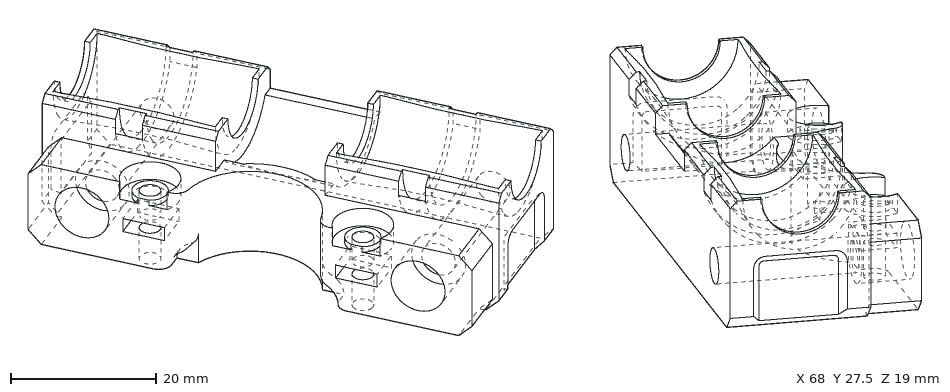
import cadquery as cq

LENGTH = 68.0
BLOCK_WIDTH = 20.0
BLOCK_HEIGHT = 19.0
BLOCK_FRONT = -BLOCK_WIDTH / 2
TOP_CHAMFER = 1.0
CORNER_CHAMFER = 2.0

FRONT = -17.5
PLATE_LENGTH = 66.1
PLATE_HEIGHT = 13.05

GAP_LENGTH = 16.3
BACK_RIDGE_HEIGHT = 14.9
GAP_TROUGH_RADIUS = 9.05

SEAT_CENTER = (LENGTH + GAP_LENGTH) / 4
SEAT_LENGTH = 24.15
SEAT_END_RADIUS = 8.0
SEAT_WAIST_RADIUS = 7.55
SEAT_END_BAND = 1.0
SHAFT_RADIUS = 5.5

TIE_WIDTH = 4.0
TIE_INNER_RADIUS = 8.5
TIE_THICKNESS = 2.05

RELIEF_RADIUS = 10.0
COLLAR_THICKNESS = 2.0
EDGE_ROUNDING = 2.0

NOTCH_RADIUS = 3.0
NOTCH_CENTER = 9.45
NOTCH_DEPTH = 3.8

BOLT_X = 25.0
BOLT_Z = 6.65
BOLT_DIAMETER = 5.0
BOLT_HEAD_DIAMETER = 8.0
BOLT_HEAD_DEPTH = 7.5

SCREW_X = 15.85
SCREW_Y = FRONT + 2.4
SCREW_DIAMETER = 3.0
SCREW_HEAD_DIAMETER = 8.5
SCREW_HEAD_FLOOR = 10.2
SEATING_RING_DIAMETER = 5.0
SEATING_RING_HEIGHT = 0.9
NUT_SLOT_WIDTH = 6.2
NUT_SLOT_HEIGHT = 2.1
NUT_SLOT_BOTTOM = 5.0
NUT_SLOT_DEPTH = 5.3

RECESS_WIDTH = 13.3
RECESS_HEIGHT = 10.6
RECESS_DEPTH = 1.0
RECESS_CORNER_RADIUS = 1.7

SIDES = (-1, 1)

SELECTION_MARGIN = 0.1


def box(x_min, x_max, y_min, y_max, z_min, z_max):
    size = (x_max - x_min, y_max - y_min, z_max - z_min)
    return cq.Workplane("XY").box(*size, centered=False).translate((x_min, y_min, z_min))


def rod_x(radius, x_center, length):
    """Cylinder along the bearing axis."""
    plane = cq.Workplane("YZ", origin=(x_center - length / 2, 0, BLOCK_HEIGHT))
    return plane.circle(radius).extrude(length)


def rod_y(radius, x, z, y_start, depth):
    """Cylinder that runs from y_start towards +Y."""
    plane = cq.Workplane("XZ", origin=(x, y_start, z))
    return plane.circle(radius).extrude(-depth)


def rod_z(radius, x, y, z_min, z_max):
    plane = cq.Workplane("XY", origin=(x, y, z_min))
    return plane.circle(radius).extrude(z_max - z_min)


def bearing_block():
    block = box(-LENGTH / 2, LENGTH / 2, BLOCK_FRONT, -BLOCK_FRONT, 0, BLOCK_HEIGHT)
    block = block.edges("|X and >Z").chamfer(TOP_CHAMFER)
    block = block.edges("|Y and <Z").chamfer(CORNER_CHAMFER)
    half_gap = GAP_LENGTH / 2
    back_gap = box(-half_gap, half_gap, 0, -BLOCK_FRONT, BACK_RIDGE_HEIGHT, BLOCK_HEIGHT)
    front_gap = box(-half_gap, half_gap, BLOCK_FRONT, 0, PLATE_HEIGHT, BLOCK_HEIGHT)
    return block.cut(back_gap).cut(front_gap)


def clamp_plate():
    plate = box(-PLATE_LENGTH / 2, PLATE_LENGTH / 2, FRONT, BLOCK_FRONT, 0, PLATE_HEIGHT)
    return plate.edges("|Y").chamfer(CORNER_CHAMFER)


def relief_collar():
    collar = rod_z(RELIEF_RADIUS + COLLAR_THICKNESS, 0, FRONT, 0, PLATE_HEIGHT)
    return collar.intersect(box(-LENGTH / 2, LENGTH / 2, FRONT, 0, 0, PLATE_HEIGHT))


def cut_relief(body):
    """Cut the half-round relief and its notches, then round the edges they leave at the front."""
    body = body.cut(rod_z(RELIEF_RADIUS, 0, FRONT, 0, BLOCK_HEIGHT))
    for side in SIDES:
        body = body.cut(rod_y(NOTCH_RADIUS, side * NOTCH_CENTER, 0, FRONT, NOTCH_DEPTH))

    reach = NOTCH_CENTER + NOTCH_RADIUS + SELECTION_MARGIN
    mouth = cq.selectors.BoxSelector(
        (-reach, FRONT - SELECTION_MARGIN, SELECTION_MARGIN),
        (reach, FRONT + NOTCH_DEPTH - SELECTION_MARGIN, PLATE_HEIGHT - SELECTION_MARGIN),
    )
    return body.edges(mouth).fillet(EDGE_ROUNDING)


def bearing_seat(x_center):
    """Bore with a straight band at each end and a gentle waist in the middle."""
    half = SEAT_LENGTH / 2
    band = half - SEAT_END_BAND
    bore = (
        cq.Workplane("XY")
        .moveTo(-half, 0)
        .lineTo(-half, SEAT_END_RADIUS)
        .lineTo(-band, SEAT_END_RADIUS)
        .threePointArc((0, SEAT_WAIST_RADIUS), (band, SEAT_END_RADIUS))
        .lineTo(half, SEAT_END_RADIUS)
        .lineTo(half, 0)
        .close()
        .revolve(360, (0, 0, 0), (1, 0, 0))
    )
    return bore.translate((x_center, 0, BLOCK_HEIGHT))


def tie_channel(x_center):
    outer = rod_x(TIE_INNER_RADIUS + TIE_THICKNESS, x_center, TIE_WIDTH)
    return outer.cut(rod_x(TIE_INNER_RADIUS, x_center, TIE_WIDTH))


def bolt_hole(x):
    head = rod_y(BOLT_HEAD_DIAMETER / 2, x, BOLT_Z, FRONT, BOLT_HEAD_DEPTH)
    return head.union(rod_y(BOLT_DIAMETER / 2, x, BOLT_Z, FRONT, BLOCK_WIDTH / 2 - FRONT))


def screw_hole(x):
    ring_top = SCREW_HEAD_FLOOR + SEATING_RING_HEIGHT
    head = rod_z(SCREW_HEAD_DIAMETER / 2, x, SCREW_Y, SCREW_HEAD_FLOOR, PLATE_HEIGHT)
    head = head.cut(rod_z(SEATING_RING_DIAMETER / 2, x, SCREW_Y, SCREW_HEAD_FLOOR, ring_top))
    shank = rod_z(SCREW_DIAMETER / 2, x, SCREW_Y, 0, PLATE_HEIGHT)
    half_slot = NUT_SLOT_WIDTH / 2
    slot = box(
        x - half_slot, x + half_slot,
        FRONT, FRONT + NUT_SLOT_DEPTH,
        NUT_SLOT_BOTTOM, NUT_SLOT_BOTTOM + NUT_SLOT_HEIGHT,
    )
    return head.union(shank).union(slot)


def end_recess(side):
    profile_height = 2 * RECESS_HEIGHT
    recess = (
        cq.Workplane("YZ")
        .sketch()
        .rect(RECESS_WIDTH, profile_height)
        .vertices()
        .fillet(RECESS_CORNER_RADIUS)
        .finalize()
        .extrude(RECESS_DEPTH, taper=45)
        .translate((-LENGTH / 2, 0, 0))
    )
    return recess if side < 0 else recess.mirror("YZ")


result = cut_relief(bearing_block().union(clamp_plate()).union(relief_collar()))

result = result.cut(rod_x(SHAFT_RADIUS, 0, LENGTH))
result = result.cut(rod_x(GAP_TROUGH_RADIUS, 0, GAP_LENGTH).cut(relief_collar()))

for side in SIDES:
    result = result.cut(bearing_seat(side * SEAT_CENTER))
    result = result.cut(tie_channel(side * SEAT_CENTER))
    result = result.cut(bolt_hole(side * BOLT_X))
    result = result.cut(screw_hole(side * SCREW_X))
    result = result.cut(end_recess(side))